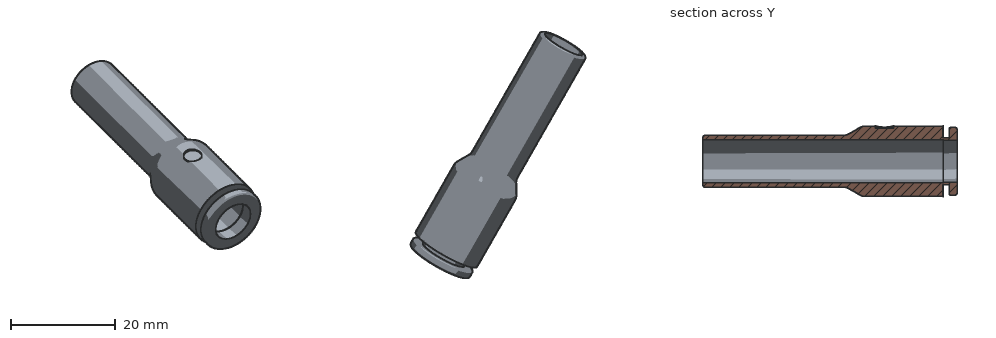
import cadquery as cq
import math


STEM_RADIUS = 5.0
STEM_BORE_RADIUS = 4.1
STEM_END_FILLET = 0.5

SHOULDER_START = 26.95
SHOULDER_ANGLE = math.radians(30)
SHOULDER_BLEND_RADIUS = 2.0

BODY_RADIUS = 6.75
BODY_END = 45.95

COLLAR_NECK_RADIUS = 4.6
COLLAR_BORE_RADIUS = 4.0
FLANGE_RADIUS = 6.55
FLANGE_START = 47.15
FLANGE_BACK_FILLET = 0.3
FLANGE_FRONT_FILLET = 0.45
TOTAL_LENGTH = 48.7

RECESS_X = 34.75
RECESS_RADIUS = 1.75
RECESS_DEPTH = 0.4


def make_stem_and_body():
    """Revolve the outer outline of the stem, shoulder and body."""
    blend_length = SHOULDER_BLEND_RADIUS * math.sin(SHOULDER_ANGLE)
    blend_rise = SHOULDER_BLEND_RADIUS * (1 - math.cos(SHOULDER_ANGLE))
    half_length = SHOULDER_BLEND_RADIUS * math.sin(SHOULDER_ANGLE / 2)
    half_rise = SHOULDER_BLEND_RADIUS * (1 - math.cos(SHOULDER_ANGLE / 2))
    cone_rise = BODY_RADIUS - STEM_RADIUS - 2 * blend_rise
    cone_start = SHOULDER_START + blend_length
    cone_end = cone_start + cone_rise / math.tan(SHOULDER_ANGLE)
    body_start = cone_end + blend_length
    solid = (
        cq.Workplane("XY")
        .lineTo(0, STEM_RADIUS)
        .lineTo(SHOULDER_START, STEM_RADIUS)
        .threePointArc(
            (SHOULDER_START + half_length, STEM_RADIUS + half_rise),
            (cone_start, STEM_RADIUS + blend_rise),
        )
        .lineTo(cone_end, BODY_RADIUS - blend_rise)
        .threePointArc(
            (body_start - half_length, BODY_RADIUS - half_rise),
            (body_start, BODY_RADIUS),
        )
        .lineTo(BODY_END, BODY_RADIUS)
        .lineTo(BODY_END, 0)
        .close()
        .revolve(360, (0, 0, 0), (1, 0, 0))
    )
    return solid.faces("<X").edges().fillet(STEM_END_FILLET)


def make_collar():
    """Neck and rounded flange standing out of the body end."""
    neck = (
        cq.Workplane("YZ", origin=(BODY_END, 0, 0))
        .circle(COLLAR_NECK_RADIUS)
        .extrude(FLANGE_START - BODY_END)
    )
    flange = (
        cq.Workplane("YZ", origin=(FLANGE_START, 0, 0))
        .circle(FLANGE_RADIUS)
        .extrude(TOTAL_LENGTH - FLANGE_START)
        .faces("<X").edges().fillet(FLANGE_BACK_FILLET)
        .faces(">X").edges().fillet(FLANGE_FRONT_FILLET)
    )
    return neck.union(flange)


def make_bore():
    """Through passage, slightly narrower inside the collar."""
    stem_bore = cq.Workplane("YZ").circle(STEM_BORE_RADIUS).extrude(BODY_END)
    collar_bore = cq.Workplane("YZ").circle(COLLAR_BORE_RADIUS).extrude(TOTAL_LENGTH)
    return stem_bore.union(collar_bore)


def make_recess():
    """Cutter for the marking recess, rising from its flat floor past the body top."""
    floor_height = BODY_RADIUS - RECESS_DEPTH
    return (
        cq.Workplane("XY", origin=(RECESS_X, 0, floor_height))
        .circle(RECESS_RADIUS)
        .extrude(2 * RECESS_DEPTH)
    )


result = make_stem_and_body().union(make_collar()).cut(make_bore()).cut(make_recess())